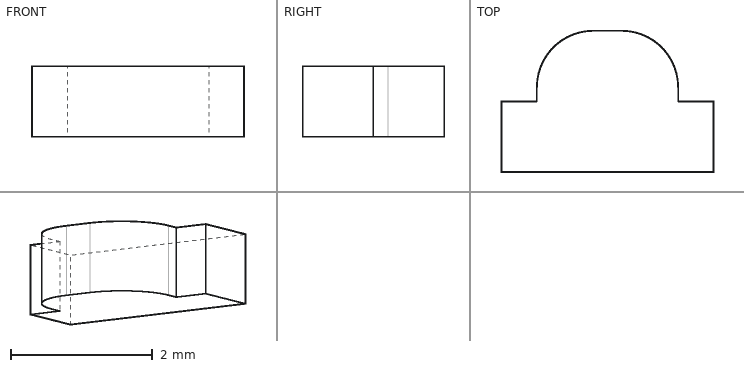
import cadquery as cq

body_length = 3.0
body_depth = body_length / 3
thickness = body_length / 3

nose_width = 2 * body_length / 3
nose_depth = body_length / 3
corner_radius = 0.8 * nose_depth

body = cq.Workplane("XY").box(
    body_length, body_depth, thickness, centered=(True, False, False)
)

nose = (
    cq.Workplane("XY")
    .workplane(origin=(0, body_depth, 0))
    .box(nose_width, nose_depth, thickness, centered=(True, False, False))
    .faces(">Y")
    .edges("|Z")
    .fillet(corner_radius)
)

result = body.union(nose).clean()